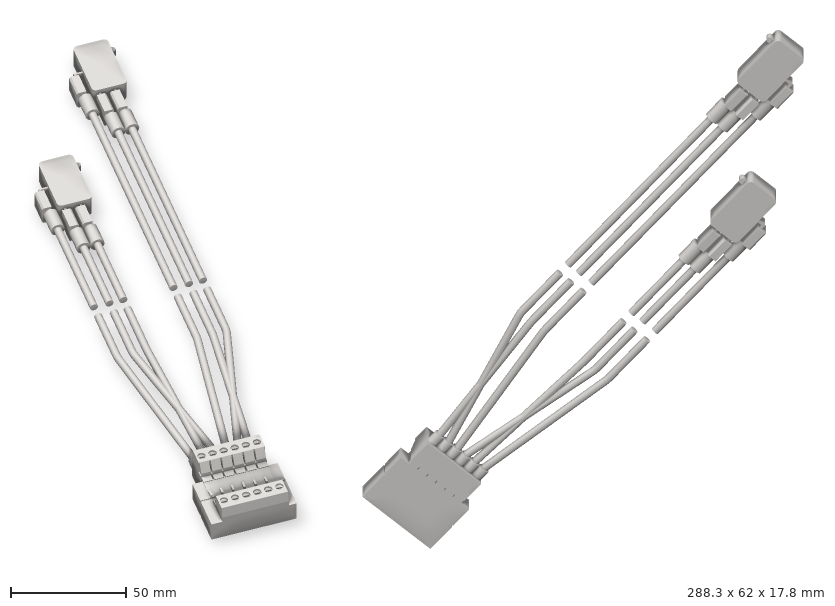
import cadquery as cq
import math


SWITCH_LENGTH = 27.8
SWITCH_DEPTH = 15.9
SWITCH_HEIGHT = 10.3
SWITCH_CORNER = 2.0
SWITCH_PLACES = [(0, 59.35, 0), (60.3, 22.8, 0.3)]

TERMINAL_Z = 5.1

PLUNGER_X = 3.9
PLUNGER_WIDTH = 2.7
PLUNGER_REACH = 2.64
PLUNGER_HEIGHT = 3.6

BLADE_THICKNESS = 0.9
BLADE_WIDTH = 6.35
BLADE_GAP = 2.0
BLADE_ROOT = 1.0
END_BLADE_YS = [-5.7, -12.75]
BRACKET_X = 13.3
BRACKET_DROP = 4.2
BRACKET_FOOT = 2.6

RECEPTACLE_LENGTH = 10.4
RECEPTACLE_DEPTH = 4.4
RECEPTACLE_HEIGHT = 9.1
RECEPTACLE_CHAMFER = 0.8
END_RECEPTACLE_TOPS = [-4.4, -10.5]
SIDE_RECEPTACLE_TOP = -18.4
SLEEVE_LENGTH = 10.0
SLEEVE_DIAMETER = 6.35

TERMINAL_PITCH = 6.35
FIRST_WIRE_Y = -5.5
END_WIRE_YS = [FIRST_WIRE_Y, FIRST_WIRE_Y - TERMINAL_PITCH]
SIDE_WIRE_Y = -19.0
WIRE_DIAMETER = 3.6
BREAK_START = 145.3
BREAK_END = 150.7
BEND_X = 176.8
BEND_TANGENT = 1.7

POLES = 6
POLE_PITCH = 5.08
CONNECTOR_BOTTOM = 0.6
CONNECTOR_TOP = 17.76
CONNECTOR_RIGHT = 288.32
CONNECTOR_MID_Y = 28.4
PLUG_LEFT = 249.8
PLUG_WIDTH = POLES * POLE_PITCH
PLUG_DEPTH = 11.3
TAPER_START_Z = 12.8
TAPER_INSET = 1.1
CROWN_DEPTH = 8.7
SHOULDER_Z = 11.9
RIB_WIDTH = 4.3
RIB_FOOT_Z = 13.3
REAR_BLOCK_SHIFT_Y = 0.7
REAR_LEDGE_DEPTH = 1.1
REAR_LEDGE_TOP = 11.6

STUB_LENGTH = 5.1
STUB_DIAMETER = 5.0
STUB_Z = 5.0

SCREW_OFFSET = 5.2
SCREW_WELL_DIAMETER = 3.6
SCREW_WELL_DEPTH = 1.0
SCREW_SLOT_WIDTH = 0.8
SCREW_SLOT_DEPTH = 0.8

BASE_LEFT = 262.9
BASE_WIDTH = 39.1
BASE_TOP = 10.2
PLATFORM_TOP = 10.5
PLATFORM_WIDTH = 29.6
PLATFORM_INSET = 0.9
LINK_TOP = 11.0
LINK_OVERLAP = 1.1
GROOVE_X = 273.3
GROOVE_WIDTH = 0.8
GROOVE_DEPTH = 0.5
PARTITION_LEFT = 270.4
PARTITION_WIDTH = 0.9


def block(x_range, y_range, z_range):
    """Box between pairs of limits along X, Y and Z."""
    limits = (x_range, y_range, z_range)
    sizes = [high - low for low, high in limits]
    return cq.Workplane("XY").box(*sizes, centered=False).translate([low for low, _ in limits])


def centred(middle, size):
    return (middle - size / 2, middle + size / 2)


def rod(x_start, x_end, y, z, diameter):
    """Cylinder along X."""
    return cq.Workplane("YZ", origin=(x_start, y, z)).circle(diameter / 2).extrude(x_end - x_start)


def switch_case():
    case = block((0, SWITCH_LENGTH), (-SWITCH_DEPTH, 0), (0, SWITCH_HEIGHT))
    return case.edges("|Z").fillet(SWITCH_CORNER)


def plunger():
    """Push button with a half-round top."""
    radius = PLUNGER_WIDTH / 2
    shoulder_y = PLUNGER_REACH - radius
    return (
        cq.Workplane("XY", origin=(PLUNGER_X, 0, TERMINAL_Z - PLUNGER_HEIGHT / 2))
        .moveTo(-radius, -radius)
        .lineTo(-radius, shoulder_y)
        .threePointArc((0, PLUNGER_REACH), (radius, shoulder_y))
        .lineTo(radius, -radius)
        .close()
        .extrude(PLUNGER_HEIGHT)
    )


def receptacle(x, y_top, chamfered_side):
    """Push-on receptacle with its long edges chamfered on one side."""
    shell = block(
        (x, x + RECEPTACLE_LENGTH),
        (y_top - RECEPTACLE_DEPTH, y_top),
        centred(TERMINAL_Z, RECEPTACLE_HEIGHT),
    )
    return shell.faces(chamfered_side).edges("|X").chamfer(RECEPTACLE_CHAMFER)


def wire_tail(receptacle_x, y, wire_end):
    """Crimp sleeve behind a receptacle and the wire leaving it."""
    sleeve_start = receptacle_x + RECEPTACLE_LENGTH
    sleeve_end = sleeve_start + SLEEVE_LENGTH
    sleeve = rod(sleeve_start, sleeve_end, y, TERMINAL_Z, SLEEVE_DIAMETER)
    return sleeve.union(rod(sleeve_end, wire_end, y, TERMINAL_Z, WIRE_DIAMETER))


def end_terminals(wire_end):
    """Two terminals on the end face; their receptacles have their chamfers facing each other."""
    receptacle_x = SWITCH_LENGTH + BLADE_GAP
    blade_z = centred(TERMINAL_Z, BLADE_WIDTH)
    places = zip(END_WIRE_YS, END_RECEPTACLE_TOPS, END_BLADE_YS, ("<Y", ">Y"))
    terminals = cq.Workplane("XY")
    for wire_y, top, blade_y, side in places:
        blade = block(
            (SWITCH_LENGTH - BLADE_ROOT, receptacle_x),
            centred(blade_y, BLADE_THICKNESS),
            blade_z,
        )
        terminals = (
            terminals.union(blade)
            .union(receptacle(receptacle_x, top, side))
            .union(wire_tail(receptacle_x, wire_y, wire_end))
        )
    return terminals


def side_terminal(wire_end):
    """Terminal on an L-shaped bracket below the case."""
    receptacle_x = BRACKET_X + BRACKET_FOOT
    bracket_bottom = -SWITCH_DEPTH - BRACKET_DROP
    blade_z = centred(TERMINAL_Z, BLADE_WIDTH)
    drop = block((BRACKET_X, BRACKET_X + BLADE_THICKNESS), (bracket_bottom, -SWITCH_DEPTH), blade_z)
    foot = block((BRACKET_X, receptacle_x), (bracket_bottom, bracket_bottom + BLADE_THICKNESS), blade_z)
    return (
        drop.union(foot)
        .union(receptacle(receptacle_x, SIDE_RECEPTACLE_TOP, "<Y"))
        .union(wire_tail(receptacle_x, SIDE_WIRE_Y, wire_end))
    )


def wired_switch(place):
    wire_end = BREAK_START - place[0]
    switch = switch_case().union(plunger()).union(end_terminals(wire_end)).union(side_terminal(wire_end))
    return switch.translate(place)


def pole_y(pole):
    """Y of a pole of the plug, counted from the +Y end."""
    return CONNECTOR_MID_Y + ((POLES - 1) / 2 - pole) * POLE_PITCH


def terminal_row():
    """Row of screw terminals: tapered wire side at the left, ribs on the shoulder at the right."""
    right = PLUG_LEFT + PLUG_DEPTH
    crown_right = PLUG_LEFT + CROWN_DEPTH
    row = (
        cq.Workplane("XZ", origin=(0, CONNECTOR_MID_Y, 0))
        .polyline(
            [
                (PLUG_LEFT, CONNECTOR_BOTTOM),
                (PLUG_LEFT, TAPER_START_Z),
                (PLUG_LEFT + TAPER_INSET, CONNECTOR_TOP),
                (crown_right, CONNECTOR_TOP),
                (crown_right, SHOULDER_Z),
                (right, SHOULDER_Z),
                (right, CONNECTOR_BOTTOM),
            ]
        )
        .close()
        .extrude(PLUG_WIDTH / 2, both=True)
    )
    for pole in range(POLES):
        y = pole_y(pole)
        rib = (
            cq.Workplane("XZ", origin=(0, y, 0))
            .polyline(
                [
                    (crown_right, SHOULDER_Z),
                    (crown_right, CONNECTOR_TOP),
                    (right, RIB_FOOT_Z),
                    (right, SHOULDER_Z),
                ]
            )
            .close()
            .extrude(RIB_WIDTH / 2, both=True)
        )
        row = row.union(rib).cut(screw_recess(y))
    return row


def screw_recess(y):
    """Round screw well with the slot of the screw head in its floor."""
    x = PLUG_LEFT + SCREW_OFFSET
    floor = CONNECTOR_TOP - SCREW_WELL_DEPTH
    well = (
        cq.Workplane("XY", origin=(x, y, floor))
        .circle(SCREW_WELL_DIAMETER / 2)
        .extrude(SCREW_WELL_DEPTH)
    )
    slot = block(
        centred(x, SCREW_SLOT_WIDTH),
        centred(y, SCREW_WELL_DIAMETER - SCREW_SLOT_WIDTH),
        (floor - SCREW_SLOT_DEPTH, floor),
    )
    return well.union(slot)


def rear_terminal_row():
    """The same row mirrored, flush with the right face of the connector, with a ledge in front."""
    mirror_x = (PLUG_LEFT + CONNECTOR_RIGHT) / 2
    mirrored = terminal_row().mirror("YZ", (mirror_x, 0, 0))
    rear_left = CONNECTOR_RIGHT - PLUG_DEPTH
    ledge = block(
        (rear_left - REAR_LEDGE_DEPTH, rear_left),
        centred(CONNECTOR_MID_Y, PLUG_WIDTH),
        (CONNECTOR_BOTTOM, REAR_LEDGE_TOP),
    )
    return mirrored.union(ledge).translate((0, REAR_BLOCK_SHIFT_Y, 0))


def base():
    """Wide base with a grooved outline, a low platform and thin partitions between the poles."""
    base_y = centred(CONNECTOR_MID_Y, BASE_WIDTH)
    body = block((BASE_LEFT, CONNECTOR_RIGHT), base_y, (CONNECTOR_BOTTOM, BASE_TOP))
    core_y = centred(CONNECTOR_MID_Y, BASE_WIDTH - 2 * GROOVE_DEPTH)
    groove_x = (GROOVE_X, GROOVE_X + GROOVE_WIDTH)
    groove = block(groove_x, base_y, (CONNECTOR_BOTTOM, BASE_TOP)).cut(
        block(groove_x, core_y, (CONNECTOR_BOTTOM, BASE_TOP - GROOVE_DEPTH))
    )
    platform = block(
        (BASE_LEFT + PLATFORM_INSET, GROOVE_X),
        centred(CONNECTOR_MID_Y, PLATFORM_WIDTH),
        (BASE_TOP, PLATFORM_TOP),
    )
    body = body.cut(groove).union(platform)
    for pole in range(POLES):
        partition = block(
            (PARTITION_LEFT, GROOVE_X),
            centred(pole_y(pole) - POLE_PITCH / 2 + PARTITION_WIDTH, PARTITION_WIDTH),
            (BASE_TOP, SHOULDER_Z),
        )
        body = body.union(partition)
    return body


def connector():
    body = terminal_row().union(base()).union(rear_terminal_row())
    for pole in range(POLES):
        y = pole_y(pole)
        link = block(
            (PLUG_LEFT + PLUG_DEPTH, BASE_LEFT + LINK_OVERLAP),
            centred(y, RIB_WIDTH),
            (CONNECTOR_BOTTOM, LINK_TOP),
        )
        stub = rod(PLUG_LEFT - STUB_LENGTH, PLUG_LEFT, y, STUB_Z, STUB_DIAMETER)
        body = body.union(link).union(stub)
    return body


def connector_wire(place, local_y, pole):
    """Wire that runs straight from the break, bends, slants to its pole and is cut off at the stub face."""
    start_y = place[1] + local_y
    wire_z = place[2] + TERMINAL_Z
    stub_face = PLUG_LEFT - STUB_LENGTH
    slant = math.atan2(pole_y(pole) - start_y, stub_face - BEND_X)
    past_face = WIRE_DIAMETER
    clearance = 4 * WIRE_DIAMETER
    path = (
        cq.Workplane("XY", origin=(0, 0, wire_z))
        .moveTo(BREAK_END, start_y)
        .lineTo(BEND_X - BEND_TANGENT, start_y)
        .tangentArcPoint(
            (BEND_X + BEND_TANGENT * math.cos(slant), start_y + BEND_TANGENT * math.sin(slant)),
            relative=False,
        )
        .lineTo(stub_face + past_face, pole_y(pole) + past_face * math.tan(slant))
    )
    profile = cq.Workplane("YZ", origin=(BREAK_END, start_y, wire_z)).circle(WIRE_DIAMETER / 2)
    beyond_face = block(
        (stub_face, stub_face + clearance),
        centred(pole_y(pole), clearance),
        centred(wire_z, clearance),
    )
    return profile.sweep(path).cut(beyond_face)


def crossed_pair(place, first_pole, second_pole):
    """The two end-terminal wires of a switch, joined where they cross."""
    first = connector_wire(place, END_WIRE_YS[0], first_pole)
    return first.union(connector_wire(place, END_WIRE_YS[1], second_pole))


bodies = [connector()]
for index, place in enumerate(SWITCH_PLACES):
    first_pole = index * POLES // 2
    bodies.append(wired_switch(place))
    bodies.append(crossed_pair(place, first_pole + 1, first_pole))
    bodies.append(connector_wire(place, SIDE_WIRE_Y, first_pole + 2))

result = cq.Compound.makeCompound([body.solids().val() for body in bodies])